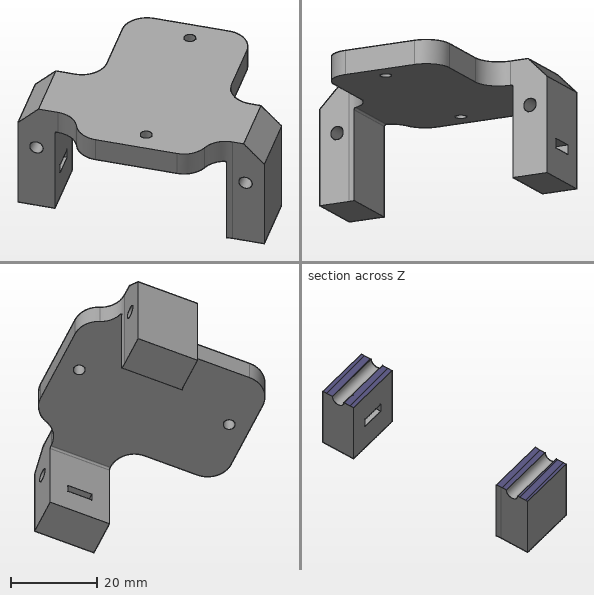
import cadquery as cq
import math

width = 59.3
depth = 48.0
height = 28.3

plate_thickness = 5.9
head_width = 30.0
head_center_x = 0.95
corner_radius = 6.0
arm_depth = 15.05
arm_front_y = 7.65
arm_back_y = arm_front_y + arm_depth
arm_center_y = (arm_front_y + arm_back_y) / 2

left_leg_thickness = 8.95
right_leg_thickness = 9.1
shoulder_chamfer = 5.0
inner_corner_radius = 0.5

plate_hole_diameter = 2.7
plate_hole_x = 1.95
plate_hole_inset = 5.0
leg_hole_diameter = 3.2
leg_hole_drop = 11.3
slot_width = 6.05
slot_height = 2.3
slot_drop = 20.0


def outline():
    """Cross-shaped plan outline, with S-shaped front flanks and rounded back corners."""
    half_width = width / 2
    half_head = head_width / 2
    flank_start = half_head + corner_radius
    turn = math.acos(1 - arm_front_y / (2 * corner_radius))
    flank_middle = flank_start - corner_radius * math.sin(turn)
    flank_end = flank_start - 2 * corner_radius * math.sin(turn)
    arc_run = corner_radius * math.sin(turn / 2)
    arc_rise = corner_radius * (1 - math.cos(turn / 2))
    arc_offset = corner_radius * (1 - math.sqrt(0.5))
    c = head_center_x

    return (
        cq.Workplane("XY")
        .moveTo(c - flank_end, 0)
        .lineTo(c + flank_end, 0)
        .threePointArc((c + flank_end + arc_run, arc_rise), (c + flank_middle, arm_front_y / 2))
        .threePointArc((c + flank_start - arc_run, arm_front_y - arc_rise), (c + flank_start, arm_front_y))
        .lineTo(half_width, arm_front_y)
        .lineTo(half_width, arm_back_y)
        .lineTo(c + flank_start, arm_back_y)
        .threePointArc(
            (c + half_head + arc_offset, arm_back_y + arc_offset),
            (c + half_head, arm_back_y + corner_radius),
        )
        .lineTo(c + half_head, depth - corner_radius)
        .threePointArc(
            (c + half_head - arc_offset, depth - arc_offset),
            (c + half_head - corner_radius, depth),
        )
        .lineTo(c - half_head + corner_radius, depth)
        .threePointArc(
            (c - half_head + arc_offset, depth - arc_offset),
            (c - half_head, depth - corner_radius),
        )
        .lineTo(c - half_head, arm_back_y + corner_radius)
        .threePointArc(
            (c - half_head - arc_offset, arm_back_y + arc_offset),
            (c - flank_start, arm_back_y),
        )
        .lineTo(-half_width, arm_back_y)
        .lineTo(-half_width, arm_front_y)
        .lineTo(c - flank_start, arm_front_y)
        .threePointArc(
            (c - flank_start + arc_run, arm_front_y - arc_rise),
            (c - flank_middle, arm_front_y / 2),
        )
        .threePointArc((c - flank_end - arc_run, arc_rise), (c - flank_end, 0))
        .close()
    )


def opening():
    """Space below the plate and between the legs, rounded at its upper corners."""
    opening_width = width - left_leg_thickness - right_leg_thickness
    center_x = (left_leg_thickness - right_leg_thickness) / 2
    return (
        cq.Workplane("XY")
        .center(center_x, depth / 2)
        .rect(opening_width, depth)
        .extrude(height - plate_thickness)
        .edges("|Y and >Z")
        .fillet(inner_corner_radius)
    )


def plate_holes():
    """Two vertical holes through the plate, near its front and back edges."""
    return (
        cq.Workplane("XY")
        .pushPoints([(plate_hole_x, plate_hole_inset), (plate_hole_x, depth - plate_hole_inset)])
        .circle(plate_hole_diameter / 2)
        .extrude(height)
    )


def leg_holes():
    """One hole along Y through the middle of each leg."""
    hole_z = height - leg_hole_drop
    left_x = -(width - left_leg_thickness) / 2
    right_x = (width - right_leg_thickness) / 2
    return (
        cq.Workplane("XZ")
        .pushPoints([(left_x, hole_z), (right_x, hole_z)])
        .circle(leg_hole_diameter / 2)
        .extrude(-depth)
    )


def leg_slot():
    """Rectangular slot through the left leg."""
    slot_x = -(width - left_leg_thickness) / 2
    return cq.Workplane("XY").box(left_leg_thickness, slot_width, slot_height).translate(
        (slot_x, arm_center_y, height - slot_drop)
    )


body = outline().extrude(height)
body = body.edges(">Z and (<X or >X)").chamfer(shoulder_chamfer)
result = body.cut(opening()).cut(plate_holes()).cut(leg_holes()).cut(leg_slot())